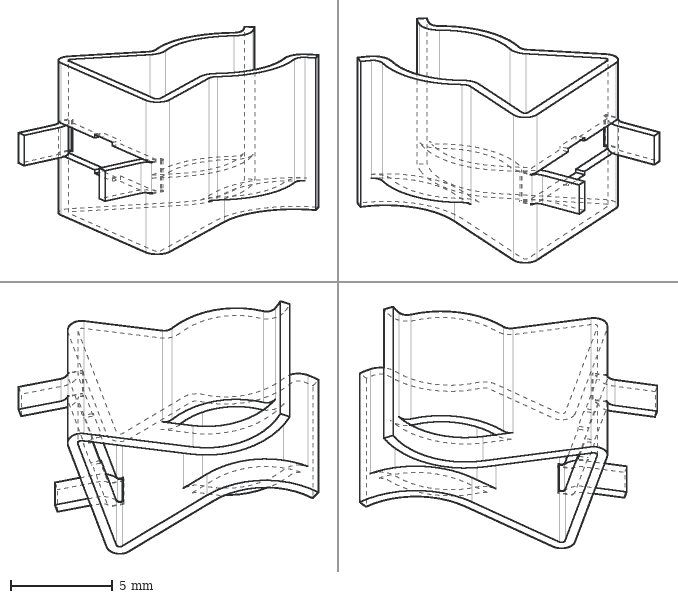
import cadquery as cq
import math

width = 8.63
height = 7.92
length = 13.64
thickness = 0.5
half_sheet = thickness / 2

bow_height = 1.5
tip_y = 11.12
pin_end_y = tip_y - length

corner_radius = 0.44
bow_radius = 4.25
grip_radius = 4.06
neck_radius = 0.5 + half_sheet
pin_bend_radius = 0.5 + half_sheet

corner_center = (width / 2 - corner_radius - half_sheet, corner_radius + half_sheet)
bow_center = (5.58, 7.62)
grip_outer_x = 3.3
grip_center_y = 7.37
grip_center = (grip_outer_x - grip_radius - half_sheet, grip_center_y)

pin_outer_x = 3.7
pin_width = 1.58
slot_length = 7.94
slot_width = 1.66
slot_relief_length = 1.5
slot_relief_width = 2.02
slot_depth = 0.82


def move(point, direction, distance):
    return (point[0] + direction[0] * distance, point[1] + direction[1] * distance)


def unit(start, end):
    gap = math.dist(start, end)
    return ((end[0] - start[0]) / gap, (end[1] - start[1]) / gap)


def circle_crossing(center_a, radius_a, center_b, radius_b):
    """Crossing point of two circles, on the left when looking from a to b."""
    gap = math.dist(center_a, center_b)
    along = (gap**2 + radius_a**2 - radius_b**2) / (2 * gap)
    aside = math.sqrt(radius_a**2 - along**2)
    axis = unit(center_a, center_b)
    return move(move(center_a, axis, along), (-axis[1], axis[0]), aside)


def strip(joints, centers, bottom, strip_height):
    """Bent sheet through joints (point, outward normal); each stretch has an arc centre or None."""

    def side_point(joint, offset):
        return move(joint[0], joint[1], offset)

    def add_stretch(outline, start, end, center):
        if center is None:
            return outline.lineTo(*end)
        to_start = unit(center, start)
        to_end = unit(center, end)
        middle = unit((0, 0), (to_start[0] + to_end[0], to_start[1] + to_end[1]))
        return outline.threePointArc(move(center, middle, math.dist(center, start)), end)

    inner = [side_point(joint, -half_sheet) for joint in joints]
    outer = [side_point(joint, half_sheet) for joint in joints]
    outline = cq.Workplane("XY").workplane(offset=bottom).moveTo(*inner[0])
    for start, end, center in zip(inner, inner[1:], centers):
        outline = add_stretch(outline, start, end, center)
    outline = outline.lineTo(*outer[-1])
    outer.reverse()
    for start, end, center in zip(outer, outer[1:], reversed(centers)):
        outline = add_stretch(outline, start, end, center)
    return outline.close().extrude(strip_height)


center_axis = unit(corner_center, bow_center)
tangent_angle = math.acos((corner_radius + bow_radius) / math.dist(corner_center, bow_center))
leg_normal_angle = math.atan2(center_axis[1], center_axis[0]) - tangent_angle
leg_normal = (math.cos(leg_normal_angle), math.sin(leg_normal_angle))

base_middle = ((0, half_sheet), (0, -1))
base_end = ((corner_center[0], half_sheet), (0, -1))
leg_start = (move(corner_center, leg_normal, corner_radius), leg_normal)
leg_end = (move(bow_center, leg_normal, -bow_radius), leg_normal)

tip_angle = math.asin((tip_y - bow_center[1]) / (bow_radius + half_sheet))
tip_normal = (math.cos(tip_angle), -math.sin(tip_angle))
tip = (move(bow_center, tip_normal, -bow_radius), tip_normal)


def bow_half():
    joints = [base_middle, base_end, leg_start, leg_end, tip]
    return strip(joints, [None, corner_center, None, bow_center], -height / 2, bow_height)


def grip_half():
    neck_reach = grip_radius + neck_radius

    leg_direction = (-leg_normal[1], leg_normal[0])
    neck_line = move(leg_start[0], leg_normal, neck_radius)
    to_grip = (grip_center[0] - neck_line[0], grip_center[1] - neck_line[1])
    along = to_grip[0] * leg_direction[0] + to_grip[1] * leg_direction[1]
    aside = to_grip[0] * leg_normal[0] + to_grip[1] * leg_normal[1]
    lower_neck = move(neck_line, leg_direction, along - math.sqrt(neck_reach**2 - aside**2))
    neck_start = (move(lower_neck, leg_normal, -neck_radius), leg_normal)
    lower_normal = unit(grip_center, lower_neck)
    grip_start = (move(grip_center, lower_normal, grip_radius), lower_normal)

    upper_neck = circle_crossing(grip_center, neck_reach, bow_center, bow_radius - neck_radius)
    upper_normal = unit(grip_center, upper_neck)
    grip_end = (move(grip_center, upper_normal, grip_radius), upper_normal)
    lip_normal = unit(upper_neck, bow_center)
    lip_start = (move(bow_center, lip_normal, -bow_radius), lip_normal)

    joints = [base_middle, base_end, leg_start, neck_start, grip_start, grip_end, lip_start, tip]
    centers = [None, corner_center, None, lower_neck, grip_center, upper_neck, bow_center]
    return strip(joints, centers, bow_height - height / 2, height - bow_height)


def pin():
    """Pin with its curved root, which follows the corner bend into the leg."""
    bend_x = pin_outer_x - half_sheet + pin_bend_radius
    reach = corner_radius + pin_bend_radius
    bend_y = corner_center[1] - math.sqrt(reach**2 - (bend_x - corner_center[0])**2)
    bend_center = (bend_x, bend_y)
    root_normal = unit(corner_center, bend_center)
    root = (move(corner_center, root_normal, corner_radius), root_normal)
    pin_x = bend_x - pin_bend_radius
    joints = [leg_start, root, ((pin_x, bend_y), (1, 0)), ((pin_x, pin_end_y), (1, 0))]
    return strip(joints, [corner_center, bend_center, None], -pin_width / 2, pin_width)


def slot():
    long_slot = cq.Workplane("XY").box(slot_length, 2 * slot_depth, slot_width)
    relief = cq.Workplane("XY").box(slot_relief_length, 2 * slot_depth, slot_relief_width)
    return long_slot.union(relief)


half_clip = bow_half().union(grip_half()).cut(slot()).union(pin())
result = half_clip.union(half_clip.mirror("YZ")).clean()